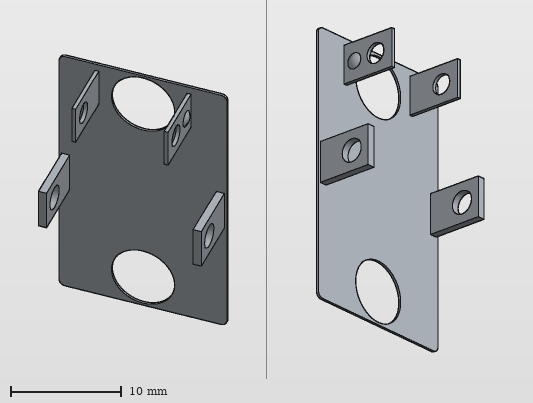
import cadquery as cq
import math

PLATE_WIDTH = 16.26
PLATE_HEIGHT = 26.92
PLATE_THICKNESS = 0.25
PLATE_CORNER_RADIUS = 0.6
LARGE_HOLE_DIAMETER = 6.1
LARGE_HOLE_SPACING = 20.32

OVERALL_DEPTH = 6.02
TAB_LENGTH = OVERALL_DEPTH - PLATE_THICKNESS
TAB_HOLE_TO_TIP = 1.98

SIDE_TAB_THICKNESS = 0.79
SIDE_TAB_HEIGHT = 4.06
SIDE_TAB_EDGE_GAP = 0.25
SIDE_TAB_HOLE_DIAMETER = 2.29
SIDE_TAB_OUTER_X = PLATE_WIDTH / 2 - SIDE_TAB_EDGE_GAP

UPPER_TAB_THICKNESS = 0.38
UPPER_TAB_HEIGHT = 3.86
UPPER_TAB_TOP_GAP = 0.74
UPPER_TAB_OUTER_X = 4.66
UPPER_TAB_HOLE_DIAMETER = 2.01
UPPER_TAB_Z = PLATE_HEIGHT / 2 - UPPER_TAB_TOP_GAP - UPPER_TAB_HEIGHT / 2

DOME_DIAMETER = 1.57
DOME_HEIGHT = 0.28
DOME_TO_TIP = 4.53
DOME_Y = DOME_TO_TIP - TAB_LENGTH


def make_plate():
    """Flat plate with rounded corners and two large holes on its centre line."""
    plate = (
        cq.Workplane("XY")
        .box(PLATE_WIDTH, PLATE_THICKNESS, PLATE_HEIGHT)
        .translate((0, PLATE_THICKNESS / 2, 0))
        .edges("|Y")
        .fillet(PLATE_CORNER_RADIUS)
    )
    holes = (
        cq.Workplane("XZ")
        .pushPoints([(0, LARGE_HOLE_SPACING / 2), (0, -LARGE_HOLE_SPACING / 2)])
        .circle(LARGE_HOLE_DIAMETER / 2)
        .extrude(-PLATE_THICKNESS)
    )
    return plate.cut(holes)


def make_tab(outer_x, thickness, height, center_z, hole_diameter):
    """Right-hand tab, from the plate's mid thickness forward, pierced along X."""
    root_y = PLATE_THICKNESS / 2
    length = TAB_LENGTH + root_y
    tab = (
        cq.Workplane("XY")
        .box(thickness, length, height)
        .translate((outer_x - thickness / 2, root_y - length / 2, center_z))
    )
    hole = (
        cq.Workplane("YZ", origin=(outer_x - thickness, 0, 0))
        .center(TAB_HOLE_TO_TIP - TAB_LENGTH, center_z)
        .circle(hole_diameter / 2)
        .extrude(thickness)
    )
    return tab.cut(hole)


def make_dome():
    """Spherical cap on the outer face of the right-hand thin tab."""
    base_radius = DOME_DIAMETER / 2
    sphere_radius = (base_radius**2 + DOME_HEIGHT**2) / (2 * DOME_HEIGHT)
    half_angle = math.asin(base_radius / sphere_radius) / 2
    arc_middle = (
        DOME_HEIGHT - sphere_radius * (1 - math.cos(half_angle)),
        sphere_radius * math.sin(half_angle),
    )
    seat_depth = UPPER_TAB_THICKNESS / 2
    return (
        cq.Workplane("XY", origin=(UPPER_TAB_OUTER_X, DOME_Y, UPPER_TAB_Z))
        .moveTo(-seat_depth, 0)
        .lineTo(-seat_depth, base_radius)
        .lineTo(0, base_radius)
        .threePointArc(arc_middle, (DOME_HEIGHT, 0))
        .close()
        .revolve(360, (0, 0), (1, 0))
    )


side_tab = make_tab(
    SIDE_TAB_OUTER_X, SIDE_TAB_THICKNESS, SIDE_TAB_HEIGHT, 0, SIDE_TAB_HOLE_DIAMETER
)
upper_tab = make_tab(
    UPPER_TAB_OUTER_X, UPPER_TAB_THICKNESS, UPPER_TAB_HEIGHT, UPPER_TAB_Z, UPPER_TAB_HOLE_DIAMETER
).union(make_dome())

result = make_plate()
for tab in (side_tab, upper_tab):
    result = result.union(tab).union(tab.mirror("YZ"))